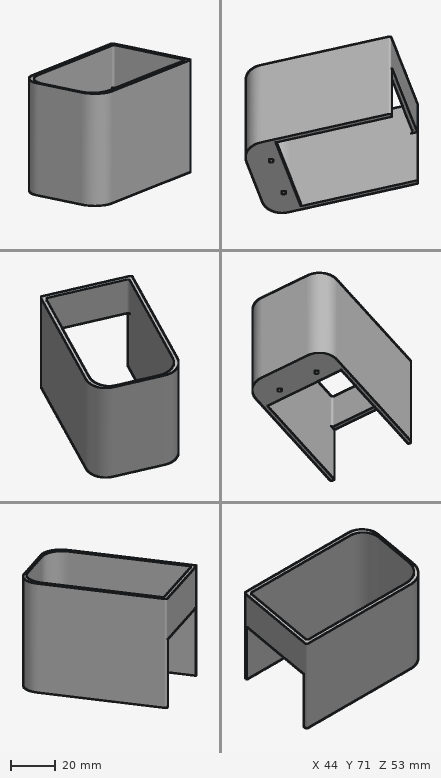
import cadquery as cq

width = 44.0
length = 71.0
height = 53.0
front_radius = 9.5
back_radius = 1.0

side_wall = 2.0
front_wall = 1.0
floor_thickness = 2.0
floor_depth = 16.05

back_band_height = 20.0

hole_diameter = 2.0
hole_spacing = 20.0
hole_setback = 10.9

front_y = -length / 2
back_y = length / 2
inner_width = width - 2 * side_wall
inner_length = length - front_wall - side_wall


def rounded_prism(size_x, size_y, start_y, front_corner, back_corner, base_z):
    """Block from base_z to the rim with rounded vertical corners, centred on X."""
    block = cq.Workplane("XY").box(size_x, size_y, height - base_z, centered=(True, False, False))
    block = block.translate((0, start_y, base_z))
    block = block.edges("|Z and <Y").fillet(front_corner)
    return block.edges("|Z and >Y").fillet(back_corner)


body = rounded_prism(width, length, front_y, front_radius, back_radius, 0)
cavity = rounded_prism(
    inner_width, inner_length, front_y + front_wall, front_radius, back_radius, floor_thickness
)
body = body.cut(cavity)

opening_front_y = front_y + floor_depth
back_opening = (
    cq.Workplane("XY")
    .box(inner_width, back_y - opening_front_y, height - back_band_height, centered=(True, False, False))
    .translate((0, opening_front_y, 0))
)
body = body.cut(back_opening)

holes = (
    cq.Workplane("XY")
    .pushPoints([(side * hole_spacing / 2, front_y + hole_setback) for side in (-1, 1)])
    .circle(hole_diameter / 2)
    .extrude(floor_thickness)
)
result = body.cut(holes)